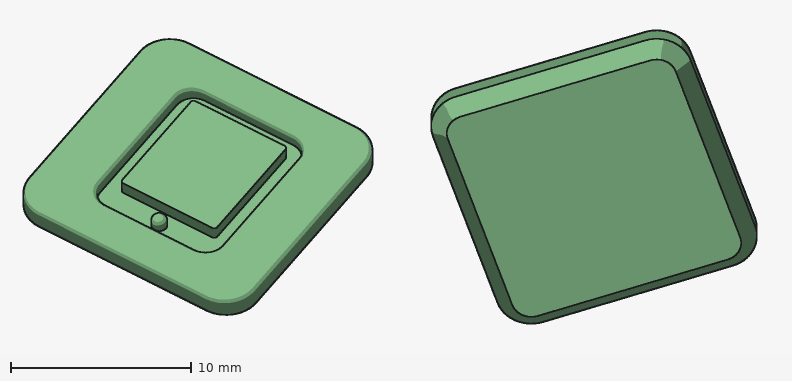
import cadquery as cq

plate_side = 15.1
plate_height = 2.0
plate_corner_radius = 2.0
edge_round = 0.3
bevel_height = 0.79
bevel_inset = 0.88

feature_x = 0.1
pocket_width = 8.11
pocket_length = 9.89
pocket_corner_radius = 1.12
pocket_depth = 0.8
floor_z = plate_height - pocket_depth

block_width = 6.31
block_length = 7.25
block_y = 0.44
block_height = pocket_depth
block_corner_radius = 0.2

pin_y = -4.05
pin_diameter = 0.9
pin_height = 0.7
pin_round = 0.3


def rounded_block(width, length, height, corner_radius, center):
    """Upright block with rounded vertical edges, centred on its base point."""
    return (
        cq.Workplane("XY", origin=center)
        .rect(width, length)
        .extrude(height)
        .edges("|Z")
        .fillet(corner_radius)
    )


def make_plate():
    plate = rounded_block(plate_side, plate_side, plate_height, plate_corner_radius, (0, 0, 0))
    plate = plate.faces("<Z").chamfer(bevel_height, bevel_inset)
    return plate.faces(">Z").edges().fillet(edge_round)


def cut_pocket(plate):
    cutter = rounded_block(
        pocket_width, pocket_length, pocket_depth, pocket_corner_radius, (feature_x, 0, floor_z)
    )
    mouth_x = pocket_width / 2 + edge_round
    mouth_y = pocket_length / 2 + edge_round
    mouth = cq.selectors.BoxSelector(
        (feature_x - mouth_x, -mouth_y, plate_height - edge_round / 2),
        (feature_x + mouth_x, mouth_y, plate_height + edge_round / 2),
    )
    return plate.cut(cutter).edges(mouth).fillet(edge_round)


def make_pin():
    pin = cq.Workplane("XY", origin=(feature_x, pin_y, floor_z)).circle(pin_diameter / 2).extrude(pin_height)
    return pin.faces(">Z").edges().fillet(pin_round)


block = rounded_block(
    block_width, block_length, block_height, block_corner_radius, (feature_x, block_y, floor_z)
)
result = cut_pocket(make_plate()).union(block).union(make_pin())